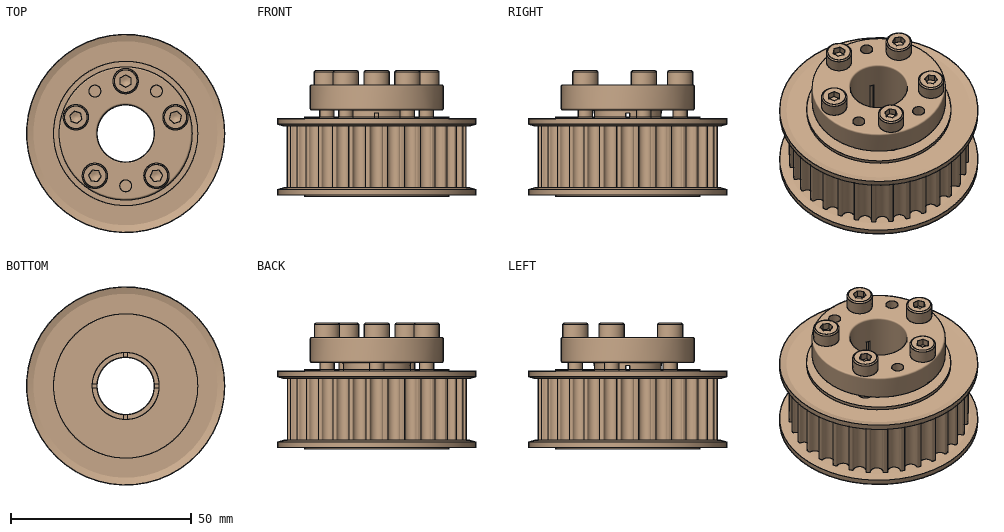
import cadquery as cq
import math


pulley_height = 22.0
boss_radius = 20.0
tooth_count = 32
tip_radius = 24.9
groove_radius = 1.75
groove_depth = 2.15
tooth_tip_fillet = 0.35

flange_radius = 27.5
flange_flat_radius = 25.5
flange_thickness = 1.55
flange_flare = 0.55
tooth_length = 17.0
tooth_bottom = (pulley_height - tooth_length) / 2

bore_radius = 7.9
sleeve_radius = 9.3
disc_radius = 18.5
disc_thickness = 7.0
disc_gap = 2.0
disc_bottom = pulley_height + disc_gap
disc_top = disc_bottom + disc_thickness
hub_fillet = 0.5
slit_width = 1.1
slit_height_above_pulley = 1.1

screw_count = 5
screw_circle_radius = 14.5
shank_diameter = 4.0
shank_length = 20.0
head_radius = 3.5
head_height = 4.0
head_chamfer = 0.4
socket_across_flats = 3.0
socket_depth = 2.0
socket_point_angle = 150.0
first_screw_angle = 90.0
jack_hole_radius = 1.65
jack_hole_angles = (54.0, 126.0, 270.0)

screw_angles = [first_screw_angle + i * 360.0 / screw_count for i in range(screw_count)]
shank_bottom = disc_top - shank_length


def points_on_screw_circle(angles):
    """Centres at the given angles (degrees) on the circle of the screws."""
    return [
        (screw_circle_radius * math.cos(math.radians(a)), screw_circle_radius * math.sin(math.radians(a)))
        for a in angles
    ]


def cylinder(radius, bottom, height):
    """Upright cylinder on the pulley axis."""
    return cq.Workplane("XY").workplane(offset=bottom).circle(radius).extrude(height)


def shank_holes():
    """The space that the screw shanks take up in the hub and the pulley."""
    return (
        cq.Workplane("XY")
        .workplane(offset=shank_bottom)
        .pushPoints(points_on_screw_circle(screw_angles))
        .circle(shank_diameter / 2)
        .extrude(shank_length)
    )


def make_pulley():
    """Toothed ring on a longer boss, with a seat for the sleeve and blind screw holes."""
    groove_centre_radius = tip_radius - groove_depth + groove_radius
    grooves = (
        cq.Workplane("XY")
        .workplane(offset=tooth_bottom)
        .polarArray(groove_centre_radius, 0, 360, tooth_count)
        .circle(groove_radius)
        .extrude(tooth_length)
    )
    teeth = cylinder(tip_radius, tooth_bottom, tooth_length).cut(grooves)
    teeth = teeth.edges("|Z").fillet(tooth_tip_fillet)
    sleeve_seat = cylinder(sleeve_radius, 0, pulley_height)
    return teeth.union(cylinder(boss_radius, 0, pulley_height)).cut(sleeve_seat).cut(shank_holes())


def make_upper_flange():
    """Ring around the boss whose rim flares away from the teeth."""
    inner_face = tooth_bottom + tooth_length
    outer_face = inner_face + flange_thickness
    return (
        cq.Workplane("XZ")
        .moveTo(boss_radius, inner_face)
        .lineTo(flange_flat_radius, inner_face)
        .lineTo(flange_radius, inner_face + flange_flare)
        .lineTo(flange_radius, outer_face + flange_flare)
        .lineTo(flange_flat_radius, outer_face)
        .lineTo(boss_radius, outer_face)
        .close()
        .revolve(360, (0, 0, 0), (0, 1, 0))
    )


def make_lower_flange():
    """The upper flange mirrored about the middle of the pulley."""
    return make_upper_flange().mirror("XY", (0, 0, pulley_height / 2))


def make_hub():
    """Disc on a sleeve that fills the pulley bore, slit crosswise below the disc."""
    sleeve = cylinder(sleeve_radius, 0, disc_bottom)
    disc = cylinder(disc_radius, disc_bottom, disc_thickness)
    hub = sleeve.union(disc)
    hub = hub.faces(">Z").edges().fillet(hub_fillet)
    hub = hub.faces("<Z[1]").edges().fillet(hub_fillet)
    hub = hub.cut(cylinder(bore_radius, 0, disc_top))
    hub = hub.faces(">Z").edges(cq.selectors.RadiusNthSelector(0)).fillet(hub_fillet)
    slit_height = pulley_height + slit_height_above_pulley
    for length_x, length_y in (
        (2 * disc_radius, slit_width),
        (slit_width, 2 * disc_radius),
    ):
        hub = hub.cut(cq.Workplane("XY").rect(length_x, length_y).extrude(slit_height))
    jack_holes = (
        cq.Workplane("XY")
        .workplane(offset=disc_bottom)
        .pushPoints(points_on_screw_circle(jack_hole_angles))
        .circle(jack_hole_radius)
        .extrude(disc_thickness)
    )
    return hub.cut(jack_holes).cut(shank_holes())


def make_screw(angle):
    """Socket head screw at an angle (degrees) on the screw circle, turned with that angle."""
    head = cylinder(head_radius, disc_top, head_height).faces(">Z").edges().chamfer(head_chamfer)
    screw = head.union(cylinder(shank_diameter / 2, shank_bottom, shank_length))

    head_top = disc_top + head_height
    socket_corner_diameter = socket_across_flats / math.cos(math.pi / 6)
    socket = (
        cq.Workplane("XY")
        .workplane(offset=head_top - socket_depth)
        .polygon(6, socket_corner_diameter)
        .extrude(socket_depth)
    )
    point_radius = socket_across_flats / 2
    point_depth = point_radius / math.tan(math.radians(socket_point_angle / 2))
    point = cq.Workplane("XY").add(
        cq.Solid.makeCone(
            point_radius, 0, point_depth, cq.Vector(0, 0, head_top - socket_depth), cq.Vector(0, 0, -1)
        )
    )
    screw = screw.cut(socket).cut(point)
    return screw.translate((screw_circle_radius, 0, 0)).rotate((0, 0, 0), (0, 0, 1), angle)


pulley = make_pulley()
upper_flange = make_upper_flange()
lower_flange = make_lower_flange()
hub = make_hub()
screws = [make_screw(angle) for angle in screw_angles]

result = cq.Compound.makeCompound(
    [
        pulley.val(),
        upper_flange.val(),
        lower_flange.val(),
        hub.val(),
        *[screw.val() for screw in screws],
    ]
)